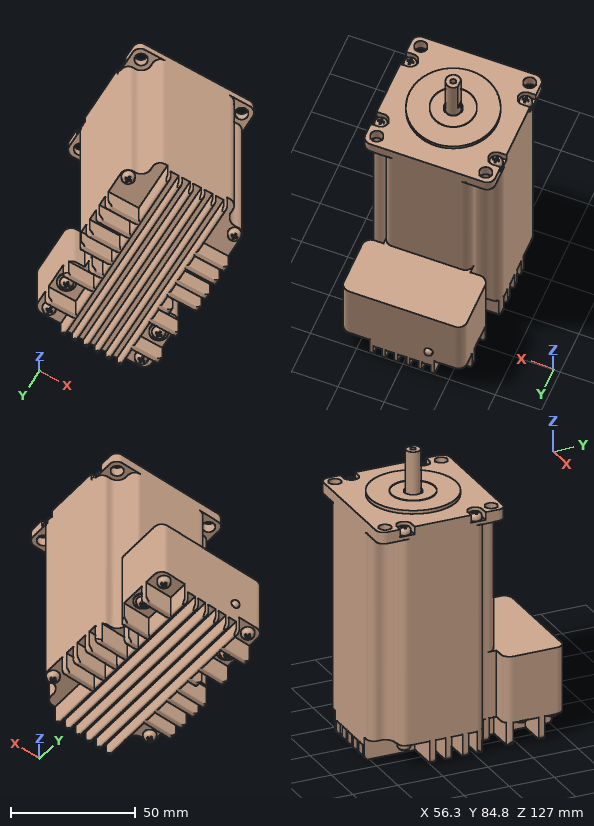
import cadquery as cq
import math

total_height = 127.0
flange_top = 107.0
flange_thickness = 5.1
flange_bottom = flange_top - flange_thickness
pilot_top = 108.6
shaft_flat_bottom = 111.9
box_top = 39.8
body_bottom = 10.3
center_block_bottom = 6.5

frame_width = 56.3
half_frame = frame_width / 2
corner_radius = 3.5
mount_spacing = 47.1
mount_hole_diameter = 5.3

relief_wall = 18.8
relief_radius = 4.5

pilot_diameter = 38.1
pilot_recess_diameter = 19.0
pilot_recess_depth = 0.3
shaft_clearance_diameter = 7.6
shaft_clearance_depth = 1.5
shaft_diameter = 6.4
shaft_flat_offset = 2.7
center_hole_diameter = 2.3
center_hole_depth = 3.8

box_width = 53.3
box_back = 55.0
box_depth = box_back - half_frame
box_radius = 3.8

long_fin_count = 6
long_fin_pitch = 5.27
long_fin_thickness = 1.5
outer_long_fin_x = long_fin_pitch * (long_fin_count - 1) / 2
side_fin_ys = (-4.5, 2.5, 10.2, 16.6, 23.6, 30.6, 44.6)
side_fin_thickness = 2.7
fin_tip_radius = 0.7
fin_end_radius = 2.3

bolt_x = 24.9
bolt_y = 15.7
bolt_pocket_diameter = 6.4
bolt_pocket_depth = 3.4
head_diameter = 5.6
head_height = 2.8
rim_rounding = 0.7
cross_length = 2.5
cross_width = 0.6
cross_depth = 1.0
cover_screw_x = 21.6
cover_screw_ys = (37.6, 51.0)
washer_diameter = 7.9
washer_thickness = 0.5
back_screw_x = -11.7
back_screw_z = 16.4
back_screw_diameter = 3.5
back_screw_height = 84.8 - frame_width - box_depth


def block(x_range, y_range, z_range):
    """Box given by its lower and upper limit along each axis."""
    (x0, x1), (y0, y1), (z0, z1) = x_range, y_range, z_range
    return cq.Workplane("XY").box(x1 - x0, y1 - y0, z1 - z0, centered=False).translate((x0, y0, z0))


def cylinder(diameter, bottom, top):
    """Upright cylinder on the motor axis."""
    return cq.Workplane("XY").workplane(offset=bottom).circle(diameter / 2).extrude(top - bottom)


def dome(diameter, height):
    """Round head with a rounded rim that stands on the XY plane and points up."""
    return cylinder(diameter, 0, height).faces(">Z").edges().fillet(height * rim_rounding)


def screw_head():
    """Domed head with a cross recess, standing on the XY plane."""
    recess = (
        cq.Workplane("XY").workplane(offset=head_height - cross_depth)
        .rect(cross_length, cross_width).extrude(cross_depth)
        .rect(cross_width, cross_length).extrude(cross_depth)
    )
    return dome(head_diameter, head_height).cut(recess)


def body_prism(bottom, top):
    """Motor body: four flats joined by relieved corners."""
    r = corner_radius
    flat_end = relief_wall - r
    wall_start = half_frame - r
    convex_shift = r * math.sqrt(0.5)
    relief_center = relief_wall + relief_radius
    relief_mid = relief_center - relief_radius * math.sqrt(0.5)
    convex_near = flat_end + convex_shift
    convex_far = wall_start + convex_shift
    outline = cq.Workplane("XY").workplane(offset=bottom).moveTo(half_frame, -flat_end)
    for quarter in range(4):
        turn = math.radians(90 * quarter)

        def place(x, y):
            return (
                x * math.cos(turn) - y * math.sin(turn),
                x * math.sin(turn) + y * math.cos(turn),
            )

        outline = (
            outline.lineTo(*place(half_frame, flat_end))
            .threePointArc(place(convex_far, convex_near), place(wall_start, relief_wall))
            .lineTo(*place(relief_center, relief_wall))
            .threePointArc(place(relief_mid, relief_mid), place(relief_wall, relief_center))
            .lineTo(*place(relief_wall, wall_start))
            .threePointArc(place(convex_near, convex_far), place(flat_end, half_frame))
        )
    return outline.close().extrude(top - bottom)


def box_prism(bottom, top):
    """Electronics box with the neck that joins it to the motor body."""
    height = top - bottom
    shell = (
        cq.Workplane("XY").box(box_width, box_depth, height, centered=(True, False, False))
        .edges("|Z").fillet(box_radius).translate((0, half_frame, bottom))
    )
    neck_range = (half_frame - corner_radius, half_frame + box_radius)
    return shell.union(block((-relief_wall, relief_wall), neck_range, (bottom, top)))


def flange():
    """Mounting flange with bolt pockets at the sides and holes at the corners."""
    plate = (
        cq.Workplane("XY").workplane(offset=flange_bottom).rect(frame_width, frame_width)
        .extrude(flange_thickness).edges("|Z").fillet(corner_radius)
    )
    holes = (
        cq.Workplane("XY").workplane(offset=flange_bottom)
        .rect(mount_spacing, mount_spacing, forConstruction=True).vertices()
        .circle(mount_hole_diameter / 2).extrude(flange_thickness)
    )
    plate = plate.cut(holes)
    floor = flange_top - bolt_pocket_depth
    for side in (-1, 1):
        for y in (-bolt_y, bolt_y):
            pocket = cylinder(bolt_pocket_diameter, floor, flange_top).translate((side * bolt_x, y, 0))
            x_range = sorted((side * bolt_x, side * half_frame))
            y_range = (y - bolt_pocket_diameter / 2, y + bolt_pocket_diameter / 2)
            plate = plate.cut(pocket).cut(block(x_range, y_range, (floor, flange_top)))
            plate = plate.union(screw_head().translate((side * bolt_x, y, floor)))
    return plate


def add_pilot_and_shaft(part):
    """Pilot disc, its shallow recess, and the flatted shaft with a center hole."""
    recess_floor = pilot_top - pilot_recess_depth
    clearance_floor = pilot_top - shaft_clearance_depth
    part = part.union(cylinder(pilot_diameter, flange_top, pilot_top))
    part = part.cut(cylinder(pilot_recess_diameter, recess_floor, pilot_top))
    part = part.cut(cylinder(shaft_clearance_diameter, clearance_floor, pilot_top))
    radius = shaft_diameter / 2
    flat = block((-radius, -shaft_flat_offset), (-radius, radius), (shaft_flat_bottom, total_height))
    center_hole = cylinder(center_hole_diameter, total_height - center_hole_depth, total_height)
    shaft = cylinder(shaft_diameter, clearance_floor, total_height).cut(flat).cut(center_hole)
    return part.union(shaft)


def long_fin(x):
    """Fin that runs from the front of the motor to the back of the box."""
    half = long_fin_thickness / 2
    x_range = (x - half, x + half)
    fin = block(x_range, (-half_frame, box_back), (0, body_bottom))
    rounded_ends = fin.edges("|X and <Z").fillet(fin_end_radius)
    return fin.edges("|Y and <Z").fillet(fin_tip_radius).intersect(rounded_ends)


def side_fin(side, y):
    """Fin that runs from an outer long fin to the side of the motor or the box."""
    half = side_fin_thickness / 2
    if y < half_frame - corner_radius - half:
        outer = half_frame
    elif y < half_frame:
        outer = relief_wall
    else:
        outer = box_width / 2
    x_range = sorted((side * outer_long_fin_x, side * outer))
    fin = block(x_range, (y - half, y + half), (0, body_bottom))
    outer_side = ">X" if side > 0 else "<X"
    rounded_end = fin.faces(outer_side).edges("<Z").fillet(fin_end_radius)
    return fin.edges("|X and <Z").fillet(fin_tip_radius).intersect(rounded_end)


def heat_sink():
    """Center block and all fins, kept inside the outline of the motor and box."""
    edge_x = outer_long_fin_x + long_fin_thickness / 2
    sink = block((-edge_x, edge_x), (-half_frame, box_back), (center_block_bottom, body_bottom))
    for index in range(long_fin_count):
        sink = sink.union(long_fin(index * long_fin_pitch - outer_long_fin_x))
    for y in side_fin_ys:
        for side in (-1, 1):
            sink = sink.union(side_fin(side, y))
    return sink.intersect(body_prism(0, body_bottom).union(box_prism(0, body_bottom)))


def add_bottom_screws(part):
    """Motor bolts and cover screws that hang below; the front cover screws have washers."""
    hanging_head = screw_head().rotate((0, 0, 0), (1, 0, 0), 180)
    places = [(bolt_x, -bolt_y)] + [(cover_screw_x, y) for y in cover_screw_ys]
    for x, y in places:
        for side in (-1, 1):
            part = part.union(hanging_head.translate((side * x, y, body_bottom)))
    washer = cylinder(washer_diameter, body_bottom - washer_thickness, body_bottom)
    for side in (-1, 1):
        part = part.union(washer.translate((side * cover_screw_x, cover_screw_ys[0], 0)))
    return part


def back_screw():
    """Small domed screw on the back of the box."""
    head = dome(back_screw_diameter, back_screw_height).rotate((0, 0, 0), (1, 0, 0), -90)
    return head.translate((back_screw_x, box_back, back_screw_z))


result = body_prism(body_bottom, flange_bottom).union(flange())
result = add_pilot_and_shaft(result)
result = result.union(box_prism(body_bottom, box_top))
result = result.union(heat_sink())
result = add_bottom_screws(result)
result = result.union(back_screw())